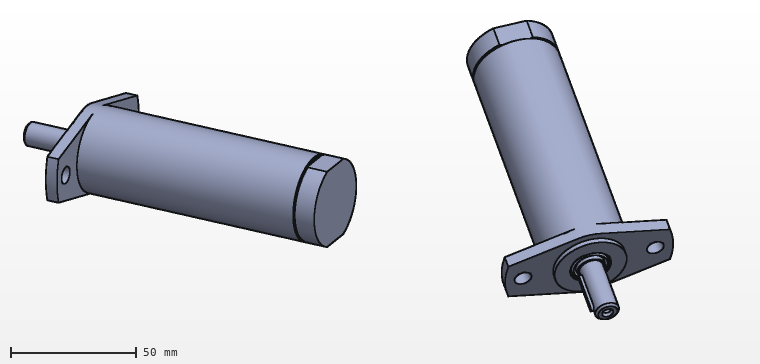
import cadquery as cq
import math


LENGTH = 138.5
PILOT_FACE = 24.2
FLANGE_FACE = 26.3
FLANGE_THICKNESS = 5.1
CAP_JOINT = 129.4

BODY_DIAMETER = 36.0
BODY_RADIUS = BODY_DIAMETER / 2
PILOT_DIAMETER = 30.0
JOINT_CHAMFER = 0.4
CAP_ACROSS_FLATS = 33.2

FLANGE_DIAMETER = 70.0
FLANGE_SLOPE = math.radians(15)
HOLE_DIAMETER = 7.0
HOLE_SPACING = 55.0

SHAFT_DIAMETER = 10.0
SHAFT_CHAMFER = 1.0
CENTRE_MOUTH_DIAMETER = 4.7
CENTRE_HOLE_DIAMETER = 3.2
CENTRE_HOLE_DEPTH = 6.9
COUNTERSINK_ANGLE = math.radians(60)
DRILL_POINT_ANGLE = math.radians(118)

KEY_START = 2.9
KEY_LENGTH = 18.1
KEY_WIDTH = 3.0
KEY_TOP = 6.1

SEAL_OUTER_DIAMETER = 17.0
SEAL_FOOT_DIAMETER = 15.5
SEAL_RIDGE_DIAMETER = 14.1
SEAL_VALLEY_DIAMETER = 11.9
SEAL_LIP_DIAMETER = 11.5
SEAL_LIP_LENGTH = 0.8
SEAL_RECESS_DEPTH = 1.0


def revolve_about_axis(points):
    """Revolve a closed outline of (x, radius) points about the motor axis."""
    return cq.Workplane("XY").polyline(points).close().revolve(360, (0, 0, 0), (1, 0, 0))


def cylinder(start, end, diameter):
    return cq.Workplane("YZ", origin=(start, 0, 0)).circle(diameter / 2).extrude(end - start)


def make_body():
    groove_radius = BODY_RADIUS - JOINT_CHAMFER
    body = revolve_about_axis([
        (FLANGE_FACE, 0),
        (FLANGE_FACE, BODY_RADIUS),
        (CAP_JOINT - JOINT_CHAMFER, BODY_RADIUS),
        (CAP_JOINT, groove_radius),
        (CAP_JOINT + JOINT_CHAMFER, BODY_RADIUS),
        (LENGTH, BODY_RADIUS),
        (LENGTH, 0),
    ])
    cap_length = LENGTH - CAP_JOINT
    cap_space = cq.Workplane("YZ", origin=(CAP_JOINT, 0, 0)).rect(BODY_DIAMETER, BODY_DIAMETER)
    between_flats = cq.Workplane("YZ", origin=(CAP_JOINT, 0, 0)).rect(BODY_DIAMETER, CAP_ACROSS_FLATS)
    waste = cap_space.extrude(cap_length).cut(between_flats.extrude(cap_length))
    return body.cut(waste)


def make_flange():
    """Two tapered ears, tangent to the body and ending on a concentric circle."""
    ear_radius = FLANGE_DIAMETER / 2
    tangent_y = BODY_RADIUS * math.sin(FLANGE_SLOPE)
    tangent_z = BODY_RADIUS * math.cos(FLANGE_SLOPE)
    corner_angle = math.asin(BODY_RADIUS / ear_radius) - FLANGE_SLOPE
    corner_y = ear_radius * math.cos(corner_angle)
    corner_z = ear_radius * math.sin(corner_angle)
    return (
        cq.Workplane("YZ", origin=(FLANGE_FACE, 0, 0))
        .moveTo(-tangent_y, tangent_z)
        .lineTo(tangent_y, tangent_z)
        .lineTo(corner_y, corner_z)
        .threePointArc((ear_radius, 0), (corner_y, -corner_z))
        .lineTo(tangent_y, -tangent_z)
        .lineTo(-tangent_y, -tangent_z)
        .lineTo(-corner_y, -corner_z)
        .threePointArc((-ear_radius, 0), (-corner_y, corner_z))
        .close()
        .pushPoints([(-HOLE_SPACING / 2, 0), (HOLE_SPACING / 2, 0)])
        .circle(HOLE_DIAMETER / 2)
        .extrude(FLANGE_THICKNESS)
    )


def make_pilot():
    """Locating pilot with a ridged shaft seal set into its face."""
    pilot = cylinder(PILOT_FACE, FLANGE_FACE, PILOT_DIAMETER)
    recess_floor = PILOT_FACE + SEAL_RECESS_DEPTH
    pilot = pilot.cut(cylinder(PILOT_FACE, recess_floor, SEAL_OUTER_DIAMETER))
    seal = revolve_about_axis([
        (recess_floor, 0),
        (recess_floor, SEAL_FOOT_DIAMETER / 2),
        (PILOT_FACE, SEAL_RIDGE_DIAMETER / 2),
        (recess_floor, SEAL_VALLEY_DIAMETER / 2),
        (PILOT_FACE - SEAL_LIP_LENGTH, SEAL_LIP_DIAMETER / 2),
        (PILOT_FACE - SEAL_LIP_LENGTH, 0),
    ])
    return pilot.union(seal)


def make_shaft():
    shaft = revolve_about_axis([
        (0, 0),
        (0, SHAFT_DIAMETER / 2 - SHAFT_CHAMFER),
        (SHAFT_CHAMFER, SHAFT_DIAMETER / 2),
        (FLANGE_FACE, SHAFT_DIAMETER / 2),
        (FLANGE_FACE, 0),
    ])
    key = (
        cq.Workplane("XZ", origin=(KEY_START + KEY_LENGTH / 2, 0, 0))
        .slot2D(KEY_LENGTH, KEY_WIDTH)
        .extrude(-KEY_TOP)
    )
    return shaft.union(key)


def make_centre_hole():
    """Countersunk blind hole in the shaft tip, ending in a drill point."""
    mouth_radius = CENTRE_MOUTH_DIAMETER / 2
    hole_radius = CENTRE_HOLE_DIAMETER / 2
    countersink_depth = (mouth_radius - hole_radius) / math.tan(COUNTERSINK_ANGLE / 2)
    point_length = hole_radius / math.tan(DRILL_POINT_ANGLE / 2)
    return revolve_about_axis([
        (0, 0),
        (0, mouth_radius),
        (countersink_depth, hole_radius),
        (CENTRE_HOLE_DEPTH, hole_radius),
        (CENTRE_HOLE_DEPTH + point_length, 0),
    ])


result = (
    make_body()
    .union(make_flange())
    .union(make_pilot())
    .union(make_shaft())
    .cut(make_centre_hole())
)